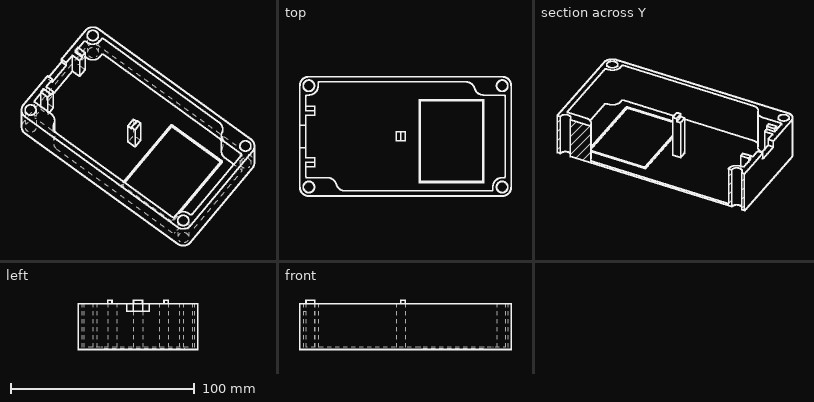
import cadquery as cq
import math

length = 115.0
width = 65.0
overall_height = 27.0
peg_height = 2.0
rim_height = overall_height - peg_height
corner_radius = 5.0

end_wall = 3.3
side_wall = 2.9
floor_thickness = 1.6
cavity_fillet = 0.7

hole_diameter = 6.0
hole_inset = 5.0
boss_size = 10.0
boss_radius = 5.0
long_boss_middle = 19.9

notch_width = 12.3
notch_depth = 4.0

support_size = 5.0
support_peg_width = support_size / 2
support_inset = 16.0
post_start = 52.4

groove_start = 65.0
groove_length = 35.1
groove_span = 45.1
groove_center_y = -2.5
groove_width = 0.6
groove_depth = 0.7

x_min = -length / 2
y_max = width / 2
support_height = rim_height - floor_thickness


def block(x, y, z, size_x, size_y, size_z):
    """Box given by its lowest corner and its size."""
    return cq.Workplane("XY").box(size_x, size_y, size_z, centered=False).translate((x, y, z))


def small_boss():
    """Boss around the (-X, +Y) hole, rounded on its cavity corner."""
    return block(
        x_min, y_max - boss_size, floor_thickness, boss_size, boss_size, support_height
    ).edges("|Z and >X and <Y").fillet(boss_radius)


def long_boss():
    """Boss around the (-X, -Y) hole, running into the side wall along an S curve."""
    crest_y = -y_max + boss_size
    wall_y = -y_max + side_wall
    middle_x = x_min + long_boss_middle
    middle_y = (crest_y + wall_y) / 2
    drop = crest_y - middle_y
    sweep = math.acos(1 - drop / boss_radius)
    reach = boss_radius * math.sin(sweep)
    half_x = boss_radius * math.sin(sweep / 2)
    half_drop = boss_radius * (1 - math.cos(sweep / 2))
    return (
        cq.Workplane("XY")
        .moveTo(x_min, -y_max)
        .lineTo(x_min, crest_y)
        .lineTo(middle_x - reach, crest_y)
        .threePointArc((middle_x - reach + half_x, crest_y - half_drop), (middle_x, middle_y))
        .threePointArc((middle_x + reach - half_x, wall_y + half_drop), (middle_x + reach, wall_y))
        .lineTo(middle_x + reach, -y_max)
        .close()
        .extrude(support_height)
        .translate((0, 0, floor_thickness))
    )


def cavity():
    """Open cavity left between the walls and the four corner bosses."""
    space = block(
        x_min + end_wall,
        -y_max + side_wall,
        floor_thickness,
        length - 2 * end_wall,
        width - 2 * side_wall,
        support_height,
    )
    for turn in (0, 180):
        for boss in (small_boss(), long_boss()):
            space = space.cut(boss.rotate((0, 0, 0), (0, 0, 1), turn))
    corner_x = length / 2 - end_wall
    corner_y = width / 2 - side_wall
    crest_y = width / 2 - boss_size
    flank_x = length / 2 - boss_size
    reach = cavity_fillet / 2
    for sign in (1, -1):
        corners = (
            (-sign * flank_x, sign * corner_y),
            (-sign * corner_x, sign * crest_y),
            (sign * corner_x, sign * crest_y),
        )
        for x, y in corners:
            near_corner = cq.selectors.BoxSelector(
                (x - reach, y - reach, 0), (x + reach, y + reach, overall_height)
            )
            space = space.edges("|Z").edges(near_corner).fillet(cavity_fillet)
    return space


def wall_support():
    """Support on the -X wall, with its peg along the +Y half."""
    x = x_min + end_wall
    top_y = y_max - support_inset
    column = block(
        x, top_y - support_size, floor_thickness, support_size, support_size, support_height
    )
    peg = block(x, top_y - support_peg_width, rim_height, support_size, support_peg_width, peg_height)
    return column.union(peg)


def post():
    """Free-standing post, with its peg along the +X half."""
    x = x_min + post_start
    y = -support_size / 2
    column = block(x, y, floor_thickness, support_size, support_size, support_height)
    peg_x = x + support_size - support_peg_width
    peg = block(peg_x, y, rim_height, support_peg_width, support_size, peg_height)
    return column.union(peg)


def floor_groove():
    """Ring-shaped cutter for the rectangular groove."""
    x = x_min + groove_start
    y = groove_center_y - groove_span / 2
    z = floor_thickness - groove_depth
    outer = block(x, y, z, groove_length, groove_span, groove_depth)
    island = block(
        x + groove_width,
        y + groove_width,
        z,
        groove_length - 2 * groove_width,
        groove_span - 2 * groove_width,
        groove_depth,
    )
    return outer.cut(island)


body = block(x_min, -y_max, 0, length, width, rim_height).edges("|Z").fillet(corner_radius)
body = body.cut(cavity())

screw_holes = (
    cq.Workplane("XY")
    .rarray(length - 2 * hole_inset, width - 2 * hole_inset, 2, 2)
    .circle(hole_diameter / 2)
    .extrude(rim_height)
)
notch = block(x_min, -notch_width / 2, rim_height - notch_depth, end_wall, notch_width, notch_depth)
body = body.cut(screw_holes).cut(notch).cut(floor_groove())

result = body.union(wall_support()).union(wall_support().mirror("XZ")).union(post())